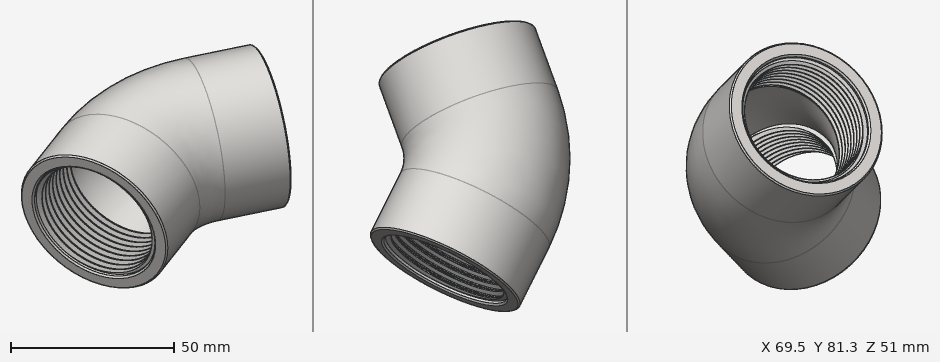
import cadquery as cq
import math

outer_diameter = 51.0
bore_diameter = 41.9
bend_angle = 45.0
bend_radius = 38.55
socket_length = 21.3
outer_chamfer = 0.5
lead_in_chamfer = 0.6

turns_per_socket = 9
thread_pitch = (socket_length - lead_in_chamfer) / turns_per_socket
thread_height = 1.5
thread_flank_half_angle = 27.5
thread_crest_width = 0.38
thread_clearance = 0.01
thread_setback = 0.8
thread_phase = 1.3
extra_turns = 3
thread_length = socket_length - lead_in_chamfer - thread_setback

outer_radius = outer_diameter / 2
bore_radius = bore_diameter / 2
root_radius = bore_radius - thread_clearance
crest_radius = root_radius - thread_height
flank_run = thread_height * math.tan(math.radians(thread_flank_half_angle))
thread_root_width = thread_crest_width + 2 * flank_run

angle = math.radians(bend_angle)
inlet_plane = cq.Plane(origin=(0, 0, 0), xDir=(1, 0, 0), normal=(0, -1, 0))
outlet_plane = cq.Plane(
    origin=(bend_radius * (1 - math.cos(angle)), bend_radius * math.sin(angle), 0),
    xDir=(-math.cos(angle), math.sin(angle), 0),
    normal=(math.sin(angle), math.cos(angle), 0),
)
socket_planes = [inlet_plane, outlet_plane]


def make_bend():
    """Hollow curved tube between the two sockets."""
    return (
        cq.Workplane(inlet_plane)
        .circle(outer_radius)
        .circle(bore_radius)
        .revolve(bend_angle, (bend_radius, 0, 0), (bend_radius, -1, 0))
    )


def make_socket(plane):
    """Straight tube with a chamfered rim and a lead-in chamfer at its mouth."""
    profile = [
        (bore_radius, 0),
        (outer_radius, 0),
        (outer_radius, socket_length - outer_chamfer),
        (outer_radius - outer_chamfer, socket_length),
        (bore_radius + lead_in_chamfer, socket_length),
        (bore_radius, socket_length - lead_in_chamfer),
    ]
    tube = cq.Workplane("XZ").polyline(profile).close().revolve(360, (0, 0, 0), (0, 1, 0))
    return cq.Workplane(tube.val().moved(cq.Location(plane)))


def make_elbow():
    """Bend and both sockets as one solid."""
    elbow = make_bend()
    for plane in socket_planes:
        elbow = elbow.union(make_socket(plane))
    return elbow


def make_thread(plane):
    """Right-hand helical ridge lining the socket bore, cut flat at both ends of its length."""
    start = thread_phase - thread_pitch
    profile = [
        (root_radius, start - thread_root_width / 2),
        (crest_radius, start - thread_crest_width / 2),
        (crest_radius, start + thread_crest_width / 2),
        (root_radius, start + thread_root_width / 2),
    ]
    helix_height = thread_length + extra_turns * thread_pitch
    helix = cq.Wire.makeHelix(thread_pitch, helix_height, root_radius)
    helix = helix.moved(cq.Location(cq.Vector(0, 0, start)))
    ridge = cq.Workplane("XZ").polyline(profile).close().sweep(cq.Workplane(helix), isFrenet=True)
    slab = cq.Workplane("XY").rect(outer_diameter, outer_diameter).extrude(thread_length)
    return ridge.intersect(slab).val().Solids()[0].moved(cq.Location(plane))


elbow = make_elbow()
threads = [make_thread(plane) for plane in socket_planes]
result = cq.Compound.makeCompound([elbow.val(), *threads])